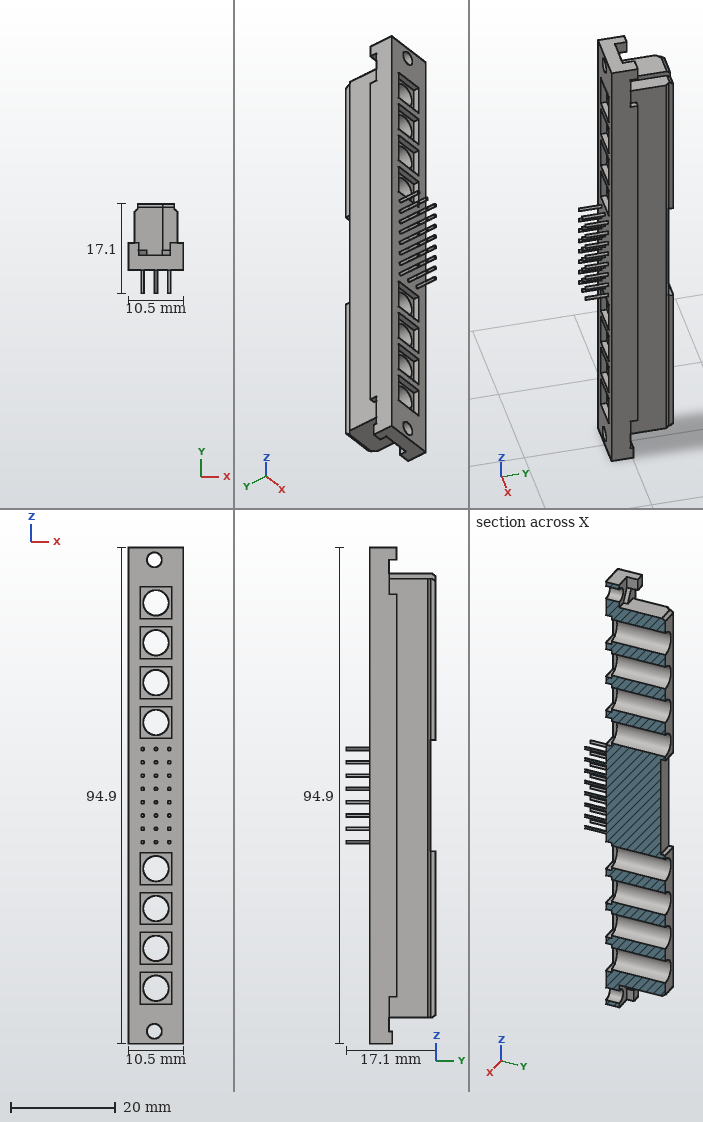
import cadquery as cq
import math

PLATE_WIDTH = 10.5
PLATE_LENGTH = 94.9
DECK_Y = 3.75
RAIL_Y = 5.2
LOWER_LIP_Y = 4.35
LIP_LENGTH = 2.4
RAIL_END_INSET = 9.0

BLOCK_WIDTH = 8.25
BLOCK_END_INSET = 5.0
PART_LENGTH_Y = 17.1
PIN_LENGTH = 4.45
TAB_Y = PART_LENGTH_Y - PIN_LENGTH
TAB_HEIGHT = 0.95
TAB_WIDTH = 7.0
BLOCK_Y = TAB_Y - TAB_HEIGHT
BLOCK_CHAMFER_Y = 0.6
TAB_GAP = 21.2
TAB_CHAMFER_Z = 0.5
TAB_CHAMFER_Y = 0.7
KEY_STEP_X = 1.25
KEY_STEP_DEPTH = 1.0

GRID = 2.54
PIN_DIAMETER = 0.6
PIN_COLUMNS = 3
PIN_ROWS = 8
SOCKET_DIAMETER = 4.82
SOCKET_PITCH = 3 * GRID
SOCKETS_PER_GROUP = 4
FIRST_SOCKET_Z = 5.5 * GRID
WINDOW_SIZE = 6.1
WINDOW_DEPTH = 1.2

MOUNT_DIAMETER = 2.8
MOUNT_X = -0.3
MOUNT_END_INSET = 2.4
NUT_FLOOR_Y = 2.85
NUT_ACROSS_FLATS = 2 * (BLOCK_END_INSET - MOUNT_END_INSET)
NUT_ACROSS_CORNERS = NUT_ACROSS_FLATS / math.cos(math.radians(30))

HALF_LENGTH = PLATE_LENGTH / 2
BLOCK_HALF_LENGTH = HALF_LENGTH - BLOCK_END_INSET
MOUNT_Z = HALF_LENGTH - MOUNT_END_INSET
SOCKET_CENTRES = [
    side * (FIRST_SOCKET_Z + i * SOCKET_PITCH)
    for side in (-1, 1)
    for i in range(SOCKETS_PER_GROUP)
]


def box(x_range, y_range, z_range):
    """Box spanning the given (low, high) ranges."""
    size = [high - low for low, high in (x_range, y_range, z_range)]
    corner = (x_range[0], y_range[0], z_range[0])
    return cq.Workplane("XY").box(*size, centered=False).translate(corner)


def span(width):
    """Range of the given width centred on zero."""
    return (-width / 2, width / 2)


def rod_along_y(diameter, x, z, y_range):
    """Cylinder along Y at (x, z)."""
    rod = cq.Workplane("XZ").circle(diameter / 2).extrude(-(y_range[1] - y_range[0]))
    return rod.translate((x, y_range[0], z))


def make_plate():
    """Plate whose profile steps between rail height, deck and the two end lips."""
    rail_z = HALF_LENGTH - RAIL_END_INSET
    lip_z = HALF_LENGTH - LIP_LENGTH
    outline = [
        (0, -HALF_LENGTH),
        (LOWER_LIP_Y, -HALF_LENGTH),
        (LOWER_LIP_Y, -lip_z),
        (DECK_Y, -lip_z),
        (DECK_Y, -rail_z),
        (RAIL_Y, -rail_z),
        (RAIL_Y, rail_z),
        (DECK_Y, rail_z),
        (DECK_Y, lip_z),
        (RAIL_Y, lip_z),
        (RAIL_Y, HALF_LENGTH),
        (0, HALF_LENGTH),
    ]
    return cq.Workplane("YZ").polyline(outline).close().extrude(PLATE_WIDTH / 2, both=True)


def make_block():
    """Mating block with bevelled long edges."""
    half = BLOCK_WIDTH / 2
    outline = [
        (-half, DECK_Y),
        (half, DECK_Y),
        (half, BLOCK_Y - BLOCK_CHAMFER_Y),
        (TAB_WIDTH / 2, BLOCK_Y),
        (-TAB_WIDTH / 2, BLOCK_Y),
        (-half, BLOCK_Y - BLOCK_CHAMFER_Y),
    ]
    return cq.Workplane("XY").polyline(outline).close().extrude(BLOCK_HALF_LENGTH, both=True)


def make_tab(side):
    """Raised tab on the block; side is +1 (upper) or -1 (lower)."""
    z_range = sorted((side * TAB_GAP / 2, side * BLOCK_HALF_LENGTH))
    return box(span(TAB_WIDTH), (DECK_Y, TAB_Y), z_range)


def make_end_bevel(side, end_z):
    """Cutter that bevels the outer corner of a tab ending at z = end_z."""
    outline = [
        (TAB_Y, end_z),
        (TAB_Y, end_z - side * TAB_CHAMFER_Z),
        (TAB_Y - TAB_CHAMFER_Y, end_z),
    ]
    return cq.Workplane("YZ").polyline(outline).close().extrude(TAB_WIDTH / 2, both=True)


def make_key_step():
    """Cutter that lowers and bevels the +X part of the upper block end."""
    step_z = BLOCK_HALF_LENGTH - KEY_STEP_DEPTH
    x_range = (KEY_STEP_X, PLATE_WIDTH)
    step = box(x_range, (DECK_Y, TAB_Y), (step_z, BLOCK_HALF_LENGTH))
    bevel_range = box(x_range, (DECK_Y, TAB_Y), (0, HALF_LENGTH))
    return step.union(make_end_bevel(1, step_z).intersect(bevel_range))


def make_mount_cut(side):
    """Mounting hole and the hexagonal nut pocket, open towards the plate end."""
    hole = rod_along_y(MOUNT_DIAMETER, MOUNT_X, side * MOUNT_Z, (0, RAIL_Y))
    pocket = (
        cq.Workplane("XZ")
        .polygon(6, NUT_ACROSS_CORNERS)
        .extrude(-(RAIL_Y - NUT_FLOOR_Y))
        .translate((MOUNT_X, NUT_FLOOR_Y, side * MOUNT_Z))
    )
    slot_half = NUT_ACROSS_CORNERS / 2
    slot = box(
        (MOUNT_X - slot_half, MOUNT_X + slot_half),
        (NUT_FLOOR_Y, RAIL_Y),
        sorted((side * MOUNT_Z, side * HALF_LENGTH)),
    )
    return hole.union(pocket).union(slot)


def make_socket_cut(z):
    """Square window in the front face with a round hole through the block."""
    window = box(span(WINDOW_SIZE), (0, WINDOW_DEPTH), span(WINDOW_SIZE))
    window = window.translate((0, 0, z))
    return window.union(rod_along_y(SOCKET_DIAMETER, 0, z, (0, PART_LENGTH_Y)))


block = make_block()
for end in (-1, 1):
    block = block.union(make_tab(end)).cut(make_end_bevel(end, end * BLOCK_HALF_LENGTH))

body = make_plate().union(block.cut(make_key_step()))
for end in (-1, 1):
    body = body.cut(make_mount_cut(end))

for socket_z in SOCKET_CENTRES:
    body = body.cut(make_socket_cut(socket_z))

for column in range(PIN_COLUMNS):
    for row in range(PIN_ROWS):
        pin_x = (column - (PIN_COLUMNS - 1) / 2) * GRID
        pin_z = (row - (PIN_ROWS - 1) / 2) * GRID
        body = body.union(rod_along_y(PIN_DIAMETER, pin_x, pin_z, (-PIN_LENGTH, DECK_Y)))

result = body